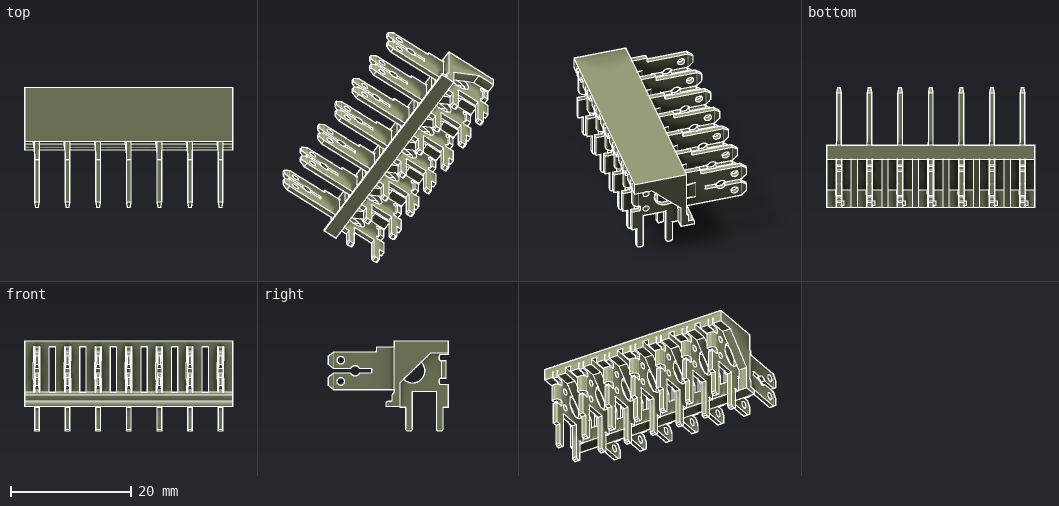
import cadquery as cq
import math


length = 34.6
total_height = 15.0
total_depth = 20.0
back_y = 9.03
tip_y = back_y - total_depth

terminal_count = 7
pitch = 5.1
terminal_thickness = 0.8
half_thickness = terminal_thickness / 2

slab_bottom_z = 12.98
wall_thickness = 1.0
gusset_top_y = 6.05
gusset_bottom_z = 8.05
housing_bottom_z = 4.1
rail_top_z = 6.5
rail_slope_end_z = 6.02
rail_depth = 0.35
lip_top_z = 4.98
lip_depth = 1.4
lip_radius = 0.45
slot_width = 1.0
slot_top_z = 14.0

body_bottom_z = 3.98
arch_top_z = 6.57
pin_width = 1.1
pin_pitch = pitch
front_pin_y = 2.5
back_pin_y = front_pin_y + pin_pitch
pin_chamfer = 0.25
body_hole_diameter = 4.0
body_hole_y = 3.08
mid_z = 10.05

blade_height = 6.3
blade_top_z = mid_z + blade_height / 2
blade_bottom_z = mid_z - blade_height / 2
shoulder_y = -2.95
shoulder_fillet = 0.2
split_width = 0.7
split_end_y = -3.75
split_hole_diameter = 1.65
split_hole_y = -6.47
tip_length = 0.95
tip_start_y = tip_y + tip_length
tip_chamfer = 0.73
tip_thickness = 0.45
tine_hole_diameter = 1.2
tine_hole_y = -8.85
tine_hole_spacing = 3.53

notch_depth = 1.5
notch_height = 1.0
notch_fillet = 0.2
tab_bottom_z = 8.8
tab_height = 2.95
tab_back_y = 8.65
tab_bend_radius = 0.75
tab_reach = 0.52

bump_diameter = 1.07
bump_height = 0.2
bump_y = 6.55
bump_mid_z = 9.6
bump_spacing = 3.1
lance_rise = 0.225
lance_free_y = -0.1
lance_root_y = -2.05
lance_free_height = 2.7
lance_root_height = 3.05


def x_prism(points, width):
    """Closed Y-Z outline extruded symmetrically about X = 0."""
    return cq.Workplane("YZ").polyline(points).close().extrude(width / 2, both=True)


def x_box(y_start, y_end, z_start, z_end, width):
    """Box centred on X = 0."""
    size = (width, y_end - y_start, z_end - z_start)
    return cq.Workplane("XY").box(*size, centered=(True, False, False)).translate((0, y_start, z_start))


def x_cylinder(y, z, diameter, width):
    """Cylinder along X, centred on X = 0."""
    return cq.Workplane("YZ").center(y, z).circle(diameter / 2).extrude(width / 2, both=True)


def make_housing():
    """Top slab, front wall, sloped gusset between them and a stepped rail along the foot."""
    outline = (
        cq.Workplane("YZ")
        .moveTo(back_y, total_height)
        .lineTo(back_y, slab_bottom_z)
        .lineTo(gusset_top_y, slab_bottom_z)
        .lineTo(wall_thickness, gusset_bottom_z)
        .lineTo(wall_thickness, housing_bottom_z)
        .lineTo(-lip_depth, housing_bottom_z)
        .lineTo(-lip_depth, lip_top_z - lip_radius)
        .radiusArc((lip_radius - lip_depth, lip_top_z), lip_radius)
        .lineTo(-rail_depth, lip_top_z)
        .lineTo(-rail_depth, rail_slope_end_z)
        .lineTo(0, rail_top_z)
        .lineTo(0, total_height)
        .close()
    )
    housing = outline.extrude(length / 2, both=True)

    slot = x_box(0, back_y, rail_top_z, slot_top_z, slot_width)
    slot_count = 2 * terminal_count - 1
    for index in range(slot_count):
        slot_x = (index - (slot_count - 1) / 2) * pitch / 2
        housing = housing.cut(slot.translate((slot_x, 0, 0)))
    return housing


def make_plate():
    """Flat terminal plate with its two solder pins and two-tined blade."""
    front_pin_outer_y = front_pin_y - pin_width / 2
    front_pin_inner_y = front_pin_y + pin_width / 2
    back_pin_inner_y = back_pin_y - pin_width / 2
    back_pin_outer_y = back_pin_y + pin_width / 2
    outline = [
        (back_y, slot_top_z),
        (back_y, body_bottom_z),
        (back_pin_outer_y, body_bottom_z),
        (back_pin_outer_y, pin_chamfer),
        (back_pin_outer_y - pin_chamfer, 0),
        (back_pin_inner_y + pin_chamfer, 0),
        (back_pin_inner_y, pin_chamfer),
        (back_pin_inner_y, arch_top_z),
        (front_pin_inner_y, arch_top_z),
        (front_pin_inner_y, pin_chamfer),
        (front_pin_inner_y - pin_chamfer, 0),
        (front_pin_outer_y + pin_chamfer, 0),
        (front_pin_outer_y, pin_chamfer),
        (front_pin_outer_y, body_bottom_z),
        (wall_thickness, body_bottom_z),
        (wall_thickness, blade_bottom_z),
        (tip_start_y, blade_bottom_z),
        (tip_y, blade_bottom_z + tip_chamfer),
        (tip_y, mid_z - split_width / 2 - tip_chamfer),
        (tip_start_y, mid_z - split_width / 2),
        (split_end_y, mid_z - split_width / 2),
        (split_end_y, mid_z + split_width / 2),
        (tip_start_y, mid_z + split_width / 2),
        (tip_y, mid_z + split_width / 2 + tip_chamfer),
        (tip_y, blade_top_z - tip_chamfer),
        (tip_start_y, blade_top_z),
        (shoulder_y, blade_top_z),
        (shoulder_y, slot_top_z),
    ]
    plate = x_prism(outline, terminal_thickness)
    shoulder_corner = cq.selectors.NearestToPointSelector((0, shoulder_y, blade_top_z))
    plate = plate.edges("|X").edges(shoulder_corner).fillet(shoulder_fillet)

    plate = plate.cut(x_cylinder(body_hole_y, mid_z, body_hole_diameter, terminal_thickness))
    plate = plate.cut(x_cylinder(split_hole_y, mid_z, split_hole_diameter, terminal_thickness))
    for side in (-1, 1):
        hole_z = mid_z + side * tine_hole_spacing / 2
        plate = plate.cut(x_cylinder(tine_hole_y, hole_z, tine_hole_diameter, terminal_thickness))
    return plate


def thin_tips(plate):
    """Taper the thickness of the tines towards their tips."""
    plan = [
        (-half_thickness, back_y),
        (-half_thickness, tip_start_y),
        (-tip_thickness / 2, tip_y),
        (tip_thickness / 2, tip_y),
        (half_thickness, tip_start_y),
        (half_thickness, back_y),
    ]
    return plate.intersect(cq.Workplane("XY").polyline(plan).close().extrude(total_height))


def shape_back_edge(plate):
    """Cut two notches in the back edge and bend the tab between them towards +X."""
    tab_top_z = tab_bottom_z + tab_height
    for notch_z in (tab_bottom_z - notch_height, tab_top_z):
        notch = x_box(back_y - notch_depth, back_y, notch_z, notch_z + notch_height, terminal_thickness)
        plate = plate.cut(notch.edges("|X and <Y").fillet(notch_fillet))
    plate = plate.cut(x_box(tab_back_y - tab_bend_radius, back_y, tab_bottom_z, tab_top_z, terminal_thickness))

    bend_y = tab_back_y - tab_bend_radius
    bend_x = tab_bend_radius - half_thickness
    tab = (
        cq.Workplane("XY", origin=(0, 0, tab_bottom_z))
        .moveTo(-half_thickness, bend_y)
        .radiusArc((bend_x, tab_back_y), tab_bend_radius)
        .lineTo(bend_x + tab_reach, tab_back_y)
        .lineTo(bend_x + tab_reach, bend_y)
        .close()
        .extrude(tab_height)
    )
    return plate.union(tab)


def add_bumps(plate):
    """Two shallow domes on the -X face."""
    bump_radius = bump_diameter / 2
    sphere_radius = (bump_radius**2 + bump_height**2) / (2 * bump_height)
    centre_x = sphere_radius - half_thickness - bump_height
    rim_angle = math.degrees(math.asin(bump_radius / sphere_radius))
    cap = cq.Workplane("XY").sphere(sphere_radius, angle1=90 - rim_angle, angle2=90)
    cap = cap.rotate((0, 0, 0), (0, 1, 0), -90)
    for side in (-1, 1):
        plate = plate.union(cap.translate((centre_x, bump_y, bump_mid_z + side * bump_spacing / 2)))
    return plate


def add_lance(plate):
    """Retaining lance that rises from the -X face towards the housing."""
    plan = [
        (-half_thickness, lance_root_y),
        (-half_thickness - lance_rise, lance_free_y),
        (-half_thickness, lance_free_y),
    ]
    wedge = cq.Workplane("XY").polyline(plan).close().extrude(total_height)
    side_outline = [
        (lance_root_y, mid_z - lance_root_height / 2),
        (lance_free_y, mid_z - lance_free_height / 2),
        (lance_free_y, mid_z + lance_free_height / 2),
        (lance_root_y, mid_z + lance_root_height / 2),
    ]
    lance = wedge.intersect(x_prism(side_outline, 2 * terminal_thickness))
    return plate.union(lance)


terminal = add_lance(add_bumps(shape_back_edge(thin_tips(make_plate()))))

result = make_housing()
for position in range(terminal_count):
    terminal_x = (position - (terminal_count - 1) / 2) * pitch
    result = result.union(terminal.translate((terminal_x, 0, 0)))